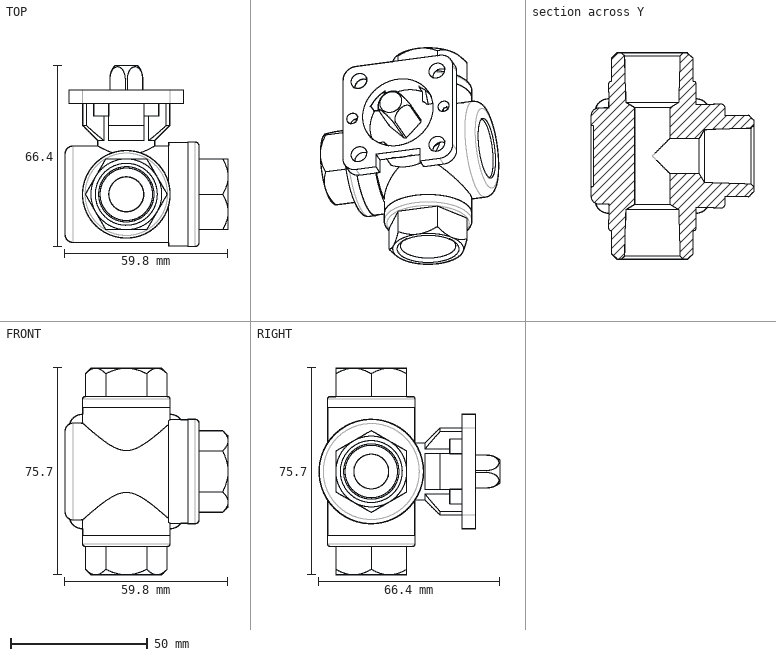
import cadquery as cq
import math


body_diameter = 35.5
body_left = -22.5
body_edge_radius = 3.0
end_recess_diameter = 22.0
end_recess_depth = 0.9

bonnet_diameter = 38.0
bonnet_start = 15.5
bonnet_cap_diameter = 38.4
bonnet_cap_start = 22.6
bonnet_cap_end = 26.7
bonnet_cap_radius = 1.6

branch_diameter = 32.0
branch_cap_diameter = 32.2
branch_cap_start = 23.5
branch_cap_end = 27.5
branch_cap_radius = 1.0

hex_flats = 26.0
side_port_end = 37.3
branch_port_end = 37.85
bore_mouth_diameter = 22.7
thread_top_diameter = 20.3
thread_bottom_diameter = 19.2
thread_length = 18.2
passage_diameter = 12.7
bore_cone_angle = 59.0

neck_diameter = 21.0
neck_top = 28.8
leg_outer_diameter = 32.0
leg_inner_diameter = 27.0
leg_width = 13.0
leg_shoulder = 25.2

plate_size = 42.0
plate_bottom = 33.2
plate_thickness = 5.0
plate_corner_radius = 5.0
mount_hole_diameter = 6.0
mount_hole_spacing = 29.8
pin_hole_diameter = 4.2
pin_hole_offset = 17.5
notch_width = 16.8
notch_depth = 5.15

stem_square = 9.1
stem_corner_diameter = 12.1
overall_depth = 66.4
stem_top = overall_depth - bonnet_cap_diameter / 2
stem_dome_height = 5.0
stem_dome_radius = 7.6


def along_x(start):
    """Workplane that extrudes toward +X from the given X."""
    return cq.Workplane("YZ", origin=(start, 0, 0))


def along_y(start):
    """Workplane that extrudes toward +Y from the given Y; its local y is -Z."""
    return cq.Workplane("XZ", origin=(0, start, 0)).transformed(rotate=(180, 0, 0))


def along_z(start):
    """Workplane that extrudes toward +Z from the given Z."""
    return cq.Workplane("XY", origin=(0, 0, start))


def turned_about_y(outline):
    """Solid of revolution from (radius, Y) points."""
    return cq.Workplane("XY").polyline(outline).close().revolve(360, (0, 0), (0, 1))


def hex_end(start, end):
    """Hexagon along +Z with corners toward X, its corners chamfered at 45 degrees."""
    corner_radius = hex_flats / math.sqrt(3)
    prism = along_z(start).polygon(6, 2 * corner_radius).extrude(end - start)
    chamfer = corner_radius - hex_flats / 2
    turned = along_z(start).circle(corner_radius).extrude(end - start).faces(">Z").chamfer(chamfer)
    return prism.intersect(turned)


def port_bore(end):
    """Tool for a chamfered, tapered thread bore that leads into the passage at the origin."""
    mouth = bore_mouth_diameter / 2
    top = thread_top_diameter / 2
    bottom = thread_bottom_diameter / 2
    passage = passage_diameter / 2
    chamfer_end = end - (mouth - top)
    thread_end = end - thread_length
    cone_end = thread_end - (bottom - passage) / math.tan(math.radians(bore_cone_angle))
    outline = [
        (0, 0),
        (passage, 0),
        (passage, cone_end),
        (bottom, thread_end),
        (top, chamfer_end),
        (mouth, end),
        (0, end),
    ]
    return turned_about_y(outline).rotate((0, 0, 0), (1, 0, 0), 90)


def toward_plus_x(shape):
    return shape.rotate((0, 0, 0), (0, 1, 0), 90)


def toward_minus_z(shape):
    return shape.rotate((0, 0, 0), (1, 0, 0), 180)


def main_body():
    """Solid barrel with a recessed round end at -X and the bonnet and hexagon at +X."""
    barrel = along_x(body_left).circle(body_diameter / 2).extrude(bonnet_start - body_left)
    barrel = barrel.faces("<X").edges().fillet(body_edge_radius)
    recess = along_x(body_left).circle(end_recess_diameter / 2).extrude(end_recess_depth)
    bonnet = along_x(bonnet_start).circle(bonnet_diameter / 2).extrude(bonnet_cap_start - bonnet_start)
    cap = along_x(bonnet_cap_start).circle(bonnet_cap_diameter / 2).extrude(bonnet_cap_end - bonnet_cap_start)
    cap = cap.faces(">X").edges().fillet(bonnet_cap_radius)
    connection = toward_plus_x(hex_end(bonnet_cap_end, side_port_end))
    return barrel.cut(recess).union(bonnet).union(cap).union(connection)


def branch():
    """Branch toward +Z with its end cap and hexagon."""
    tube = along_z(0).circle(branch_diameter / 2).extrude(branch_cap_start)
    cap = along_z(branch_cap_start).circle(branch_cap_diameter / 2).extrude(branch_cap_end - branch_cap_start)
    cap = cap.faces(">Z").edges().fillet(branch_cap_radius)
    return tube.union(cap).union(hex_end(branch_cap_end, branch_port_end))


def bracket_legs():
    """Four legs cut from a turned cup that flares at 45 degrees from the neck."""
    neck = neck_diameter / 2
    outer = leg_outer_diameter / 2
    inner = leg_inner_diameter / 2
    flare_bottom = leg_shoulder - (outer - neck)
    outline = [
        (0, flare_bottom),
        (neck, flare_bottom),
        (outer, leg_shoulder),
        (outer, plate_bottom),
        (inner, plate_bottom),
        (inner, neck_top),
        (0, neck_top),
    ]
    cup = turned_about_y(outline)
    cross = along_y(0).rect(leg_outer_diameter, leg_width).extrude(plate_bottom)
    cross = cross.union(along_y(0).rect(leg_width, leg_outer_diameter).extrude(plate_bottom))
    return cup.intersect(cross)


def mounting_plate():
    """Square flange with a centre opening, bolt and pin holes and a notch in its -Z edge."""
    plate = along_y(plate_bottom).rect(plate_size, plate_size).extrude(plate_thickness)
    plate = plate.edges("|Y").fillet(plate_corner_radius)
    holes = along_y(plate_bottom).circle(leg_inner_diameter / 2).extrude(plate_thickness)
    holes = holes.union(
        along_y(plate_bottom)
        .rect(mount_hole_spacing, mount_hole_spacing, forConstruction=True)
        .vertices()
        .circle(mount_hole_diameter / 2)
        .extrude(plate_thickness)
    )
    holes = holes.union(
        along_y(plate_bottom)
        .pushPoints([(-pin_hole_offset, 0), (pin_hole_offset, 0)])
        .circle(pin_hole_diameter / 2)
        .extrude(plate_thickness)
    )
    notch = cq.Workplane("XY").box(notch_width, plate_thickness, notch_depth)
    notch_height = (notch_depth - plate_size) / 2
    notch = notch.translate((0, plate_bottom + plate_thickness / 2, notch_height))
    return plate.cut(holes).cut(notch)


def drive_stem():
    """Square bar with its corners toward X and Z, turned to a rounded tip."""
    bar = along_y(0).rect(stem_square, stem_square).extrude(stem_top)
    bar = bar.rotate((0, 0, 0), (0, 1, 0), 45)
    radius = stem_corner_diameter / 2
    dome_start = stem_top - stem_dome_height

    def dome_point(height):
        drop = stem_dome_radius - math.sqrt(stem_dome_radius**2 - height**2)
        return (radius - drop, dome_start + height)

    tip = dome_point(stem_dome_height)
    turned = (
        cq.Workplane("XY")
        .moveTo(0, 0)
        .lineTo(radius, 0)
        .lineTo(radius, dome_start)
        .threePointArc(dome_point(stem_dome_height / 2), tip)
        .lineTo(0, stem_top)
        .close()
        .revolve(360, (0, 0), (0, 1))
    )
    return bar.intersect(turned)


neck = along_y(0).circle(neck_diameter / 2).extrude(neck_top)

result = main_body().union(branch()).union(toward_minus_z(branch()))
result = result.union(neck).union(bracket_legs()).union(mounting_plate()).union(drive_stem())

result = result.cut(toward_plus_x(port_bore(side_port_end)))
result = result.cut(port_bore(branch_port_end))
result = result.cut(toward_minus_z(port_bore(branch_port_end)))